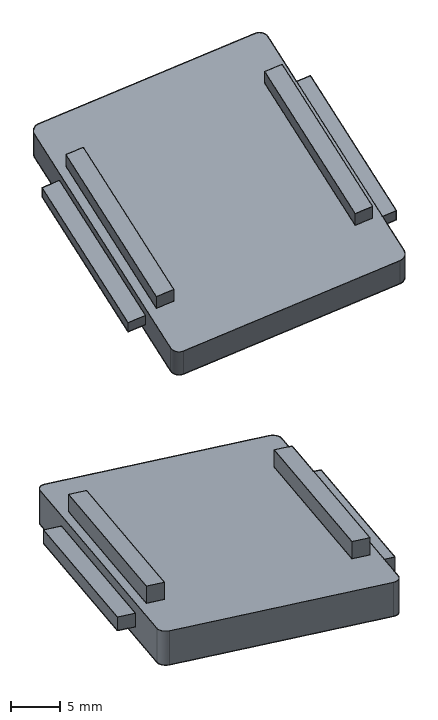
import cadquery as cq

plate_length = 32.0
plate_width = 26.62
plate_height = 4.0
corner_radius = 1.0

rail_length = 20.0
rail_width = 2.0
rail_height = 2.0
rail_edge_gap = 1.0

tab_length = 19.0
tab_reach = 2.0
tab_thickness = 1.6

rail_center_y = plate_width / 2 - rail_edge_gap - rail_width / 2


def make_plate():
    """Rectangular plate with rounded vertical corners."""
    plate = cq.Workplane("XY").box(plate_length, plate_width, plate_height, centered=(True, True, False))
    return plate.edges("|Z").fillet(corner_radius)


def make_rails():
    """Two parallel bars on the top face of the plate."""
    return (
        cq.Workplane("XY", origin=(0, 0, plate_height))
        .pushPoints([(0, -rail_center_y), (0, rail_center_y)])
        .box(rail_length, rail_width, rail_height, centered=(True, True, False))
    )


def make_tab_bar():
    """One bar through the plate whose two ends form the side tabs."""
    return cq.Workplane("XY", origin=(0, 0, plate_height / 2)).box(
        tab_length, plate_width + 2 * tab_reach, tab_thickness
    )


result = make_plate().union(make_rails()).union(make_tab_bar())